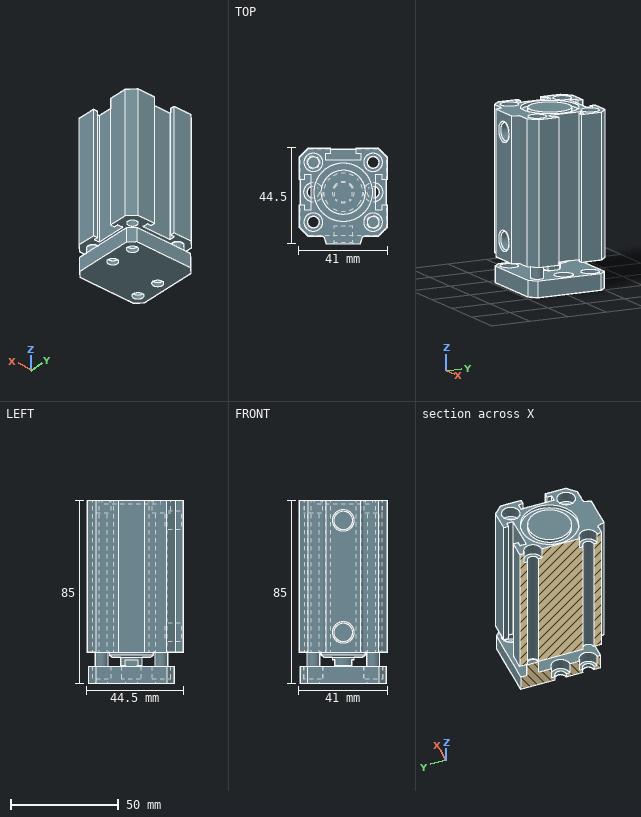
import cadquery as cq

total_height = 85.0
plate_thickness = 8.0
housing_gap = 6.55
housing_bottom = plate_thickness + housing_gap
housing_height = total_height - housing_bottom
collar_height = 2.3
collar_bottom = housing_bottom - collar_height

housing_width = 41.0
half_width = housing_width / 2
housing_corner = 4.2
rib_front = -24.05
rib_half_width = 7.9
rib_root_half_width = 9.0
rib_fillet = 1.0

slot_mouth_width = 12.0
slot_inner_width = 16.5
slot_lip = 2.5
slot_depth = 5.5

cap_diameter = 20.5
recess_diameter = 27.1
recess_depth = 1.7
collar_diameter = 20.5
collar_chamfer_height = 1.0
collar_chamfer_width = 1.3
hole_offset = 13.85
housing_hole_diameter = 5.3
housing_counterbore_diameter = 8.6
housing_counterbore_depth = 5.8

port_inset = 9.3
port_diameter = 8.6
port_mouth_diameter = 10.0
port_chamfer = (port_mouth_diameter - port_diameter) / 2
port_chamfer_angle = 45
port_depth = 8.5

plate_width = 39.95
plate_corner = 3.5
plate_hole_diameter = 5.5
plate_counterbore_diameter = 9.0
corner_counterbore_diameter = 8.6
plate_counterbore_depth = 5.7
guide_rod_diameter = 6.0
piston_rod_diameter = 10.0
piston_rod_chamfer = 0.5
flat_width = 8.0
flat_top = 11.05

corner_points = [
    (x, y) for x in (-hole_offset, hole_offset) for y in (-hole_offset, hole_offset)
]
rod_points = [(-hole_offset, hole_offset), (hole_offset, -hole_offset)]
plate_corner_holes = [(-hole_offset, -hole_offset), (hole_offset, hole_offset)]
plate_side_holes = [(-hole_offset, 0), (hole_offset, 0)]


def octagonal_block(width, corner, height, bottom):
    """Square block with chamfered vertical edges."""
    block = cq.Workplane("XY").workplane(offset=bottom).rect(width, width).extrude(height)
    return block.edges("|Z").chamfer(corner)


def counterbores(points, hole_diameter, bore_diameter, bore_depth, bottom, top):
    """Vertical through holes with a counterbore from the top."""
    holes = (
        cq.Workplane("XY").workplane(offset=bottom)
        .pushPoints(points).circle(hole_diameter / 2).extrude(top - bottom)
    )
    bores = (
        cq.Workplane("XY").workplane(offset=top)
        .pushPoints(points).circle(bore_diameter / 2).extrude(-bore_depth)
    )
    return holes.union(bores)


def make_port_rib():
    """Rib on the -Y side that narrows outwards, with its base inside the housing."""
    root = -half_width
    return (
        cq.Workplane("XY").workplane(offset=housing_bottom)
        .polyline([
            (-rib_half_width, rib_front),
            (rib_half_width, rib_front),
            (rib_root_half_width, root),
            (rib_root_half_width, 0),
            (-rib_root_half_width, 0),
            (-rib_root_half_width, root),
        ])
        .close().extrude(housing_height)
    )


def make_t_slot():
    """T-shaped slot cutter for the +Y side."""
    base = cq.Workplane("XY").workplane(offset=housing_bottom)
    mouth = (
        base.center(0, half_width - slot_depth / 2)
        .rect(slot_mouth_width, slot_depth).extrude(housing_height)
    )
    inner_depth = slot_depth - slot_lip
    inner = (
        base.center(0, half_width - slot_lip - inner_depth / 2)
        .rect(slot_inner_width, inner_depth).extrude(housing_height)
    )
    return mouth.union(inner)


def make_port(height):
    """Blind port with a chamfered mouth, entering the rib along +Y."""
    plane = cq.Plane(origin=(0, rib_front, height), xDir=(1, 0, 0), normal=(0, 1, 0))
    bore = cq.Workplane(plane).circle(port_diameter / 2).extrude(port_depth)
    mouth = (
        cq.Workplane(plane).circle(port_mouth_diameter / 2)
        .extrude(port_chamfer, taper=port_chamfer_angle)
    )
    return bore.union(mouth)


def make_collar():
    """Round collar below the housing, chamfered at its lower rim."""
    collar = (
        cq.Workplane("XY").workplane(offset=collar_bottom)
        .circle(collar_diameter / 2).extrude(collar_height)
    )
    return collar.faces("<Z").chamfer(collar_chamfer_height, collar_chamfer_width)


def make_housing():
    """Slotted cylinder housing with its port rib and bottom collar."""
    body = octagonal_block(housing_width, housing_corner, housing_height, housing_bottom)
    body = body.union(make_port_rib())
    middle = housing_bottom + housing_height / 2
    for x in (-rib_root_half_width, rib_root_half_width):
        root_edge = cq.selectors.NearestToPointSelector((x, -half_width, middle))
        body = body.edges("|Z").edges(root_edge).fillet(rib_fillet)

    slot = make_t_slot()
    for angle in (0, 90, -90):
        body = body.cut(slot.rotate((0, 0, 0), (0, 0, 1), angle))

    recess = (
        cq.Workplane("XY").workplane(offset=total_height)
        .circle(recess_diameter / 2).circle(cap_diameter / 2).extrude(-recess_depth)
    )
    body = body.cut(recess)

    body = body.cut(counterbores(
        corner_points, housing_hole_diameter, housing_counterbore_diameter,
        housing_counterbore_depth, housing_bottom, total_height,
    ))

    for height in (housing_bottom + port_inset, total_height - port_inset):
        body = body.cut(make_port(height))

    return body.union(make_collar())


def make_piston_rod():
    """Short rod between plate and collar, with two wrench flats facing +X and -X."""
    rod = (
        cq.Workplane("XY").workplane(offset=plate_thickness)
        .circle(piston_rod_diameter / 2).extrude(collar_bottom - plate_thickness)
        .faces("<Z").chamfer(piston_rod_chamfer)
    )
    flat_height = flat_top - plate_thickness
    flats = (
        cq.Workplane("XY").workplane(offset=plate_thickness)
        .rect(piston_rod_diameter, piston_rod_diameter)
        .rect(flat_width, piston_rod_diameter).extrude(flat_height)
    )
    return rod.cut(flats)


def make_end_plate():
    """End plate joined to its two guide rods and the piston rod."""
    plate = octagonal_block(plate_width, plate_corner, plate_thickness, 0)
    for points, bore_diameter in (
        (plate_corner_holes, corner_counterbore_diameter),
        (plate_side_holes, plate_counterbore_diameter),
    ):
        plate = plate.cut(counterbores(
            points, plate_hole_diameter, bore_diameter, plate_counterbore_depth, 0, plate_thickness,
        ))
    guide_rods = (
        cq.Workplane("XY").workplane(offset=plate_thickness)
        .pushPoints(rod_points).circle(guide_rod_diameter / 2).extrude(housing_gap)
    )
    return plate.union(guide_rods).union(make_piston_rod())


housing = make_housing()
end_plate = make_end_plate()

result = cq.Compound.makeCompound([housing.solids().val(), end_plate.solids().val()])